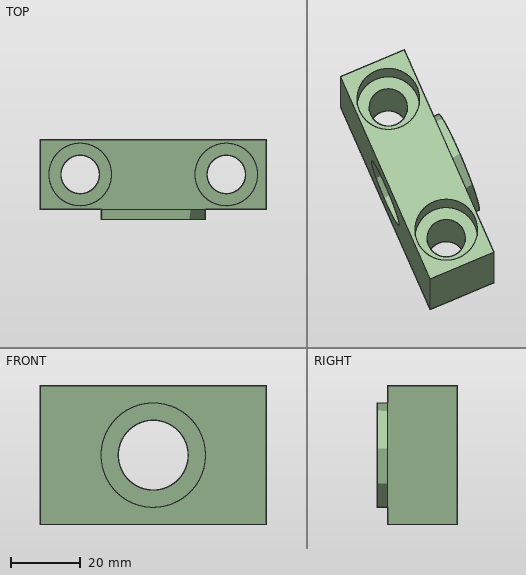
import cadquery as cq

length = 65.0
depth = 20.0
height = 40.0

collar_diameter = 30.0
collar_height = 3.0
bore_diameter = 20.0

bolt_spacing = 42.0
bolt_diameter = 11.0
counterbore_diameter = 18.0
counterbore_depth = 11.0

block = cq.Workplane("XY").box(length, depth, height)

front_face = cq.Workplane("XZ", origin=(0, -depth / 2, 0))
collar = front_face.circle(collar_diameter / 2).extrude(collar_height)
body = block.union(collar)

bore = (
    cq.Workplane("XZ", origin=(0, depth / 2, 0))
    .circle(bore_diameter / 2)
    .extrude(depth + collar_height)
)
body = body.cut(bore)

result = (
    body.faces(">Z")
    .workplane(origin=(0, 0, height / 2))
    .pushPoints([(-bolt_spacing / 2, 0), (bolt_spacing / 2, 0)])
    .cboreHole(bolt_diameter, counterbore_diameter, counterbore_depth)
)